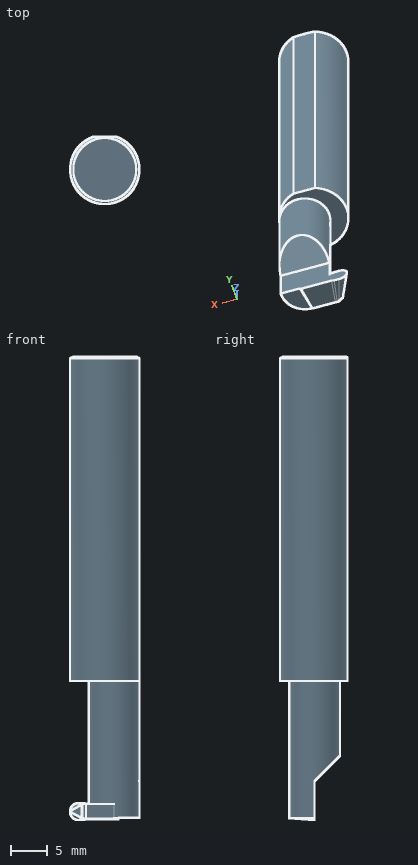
import cadquery as cq

total_length = 63.45
shank_radius = 4.75
shank_bottom = 19.05
flat_y = 4.5
chamfer_height = 0.25
chamfer_inset = 0.45

neck_radius = 3.5
neck_x = shank_radius - neck_radius
neck_bottom = 0.3
relief_end = 5.3

nose_radius = 1.15
nose_flat = 0.05
tip_height = 2 * nose_radius + nose_flat
tip_back_x = 1.9
step_x = -2.9
step_end_x = -2.55
stem_bottom = 0.1
stem_top = 2.2
heel_bottom = 0.25
heel_top = 2.2
heel_front_x = -3.05
heel_shoulder_x = -2.55
heel_step_x = -2.3
heel_step_end_x = -2.0
heel_bevel = 0.3


def make_shank():
    bar = (
        cq.Workplane("XY")
        .workplane(offset=shank_bottom)
        .circle(shank_radius)
        .extrude(total_length - shank_bottom)
        .faces(">Z")
        .chamfer(chamfer_height, chamfer_inset)
    )
    envelope = cq.Workplane("XY").box(
        2 * shank_radius, flat_y + shank_radius, total_length, centered=(True, False, False)
    ).translate((0, -shank_radius, 0))
    return bar.intersect(envelope)


def make_neck():
    neck = (
        cq.Workplane("XY")
        .workplane(offset=neck_bottom)
        .center(neck_x, 0)
        .circle(neck_radius)
        .extrude(shank_bottom - neck_bottom)
    )
    relief = (
        cq.Workplane("YZ")
        .polyline([
            (0, 0),
            (shank_radius, 0),
            (shank_radius, relief_end + shank_radius),
            (0, relief_end),
        ])
        .close()
        .extrude(shank_radius, both=True)
    )
    return neck.cut(relief)


def make_tip():
    nose_x = -shank_radius
    nose_back_x = nose_x + nose_radius
    arc_inset = nose_radius * (1 - 0.5 ** 0.5)
    tip = (
        cq.Workplane("XZ")
        .moveTo(tip_back_x, stem_bottom)
        .lineTo(step_end_x, stem_bottom)
        .lineTo(step_x, 0)
        .lineTo(nose_back_x, 0)
        .threePointArc((nose_x + arc_inset, arc_inset), (nose_x, nose_radius))
        .lineTo(nose_x, nose_radius + nose_flat)
        .threePointArc((nose_x + arc_inset, tip_height - arc_inset), (nose_back_x, tip_height))
        .lineTo(step_x, tip_height)
        .lineTo(step_end_x, stem_top)
        .lineTo(tip_back_x, stem_top)
        .close()
        .workplane(offset=neck_radius)
        .moveTo(neck_x, heel_bottom)
        .lineTo(heel_step_end_x, heel_bottom)
        .lineTo(heel_step_x, heel_bottom)
        .lineTo(heel_shoulder_x, heel_bottom)
        .lineTo(heel_front_x, heel_bottom)
        .lineTo(heel_front_x, heel_top)
        .lineTo(heel_shoulder_x, heel_top)
        .lineTo(heel_step_x, heel_top)
        .lineTo(heel_step_end_x, heel_top)
        .lineTo(neck_x, heel_top)
        .close()
        .loft(ruled=True)
    )
    bevel = (
        cq.Workplane("XY")
        .polyline([
            (heel_shoulder_x, -neck_radius),
            (heel_front_x, -neck_radius + heel_bevel),
            (-shank_radius, -neck_radius + heel_bevel),
            (-shank_radius, -neck_radius),
        ])
        .close()
        .extrude(tip_height)
    )
    return tip.cut(bevel)


result = make_shank().union(make_neck()).union(make_tip())